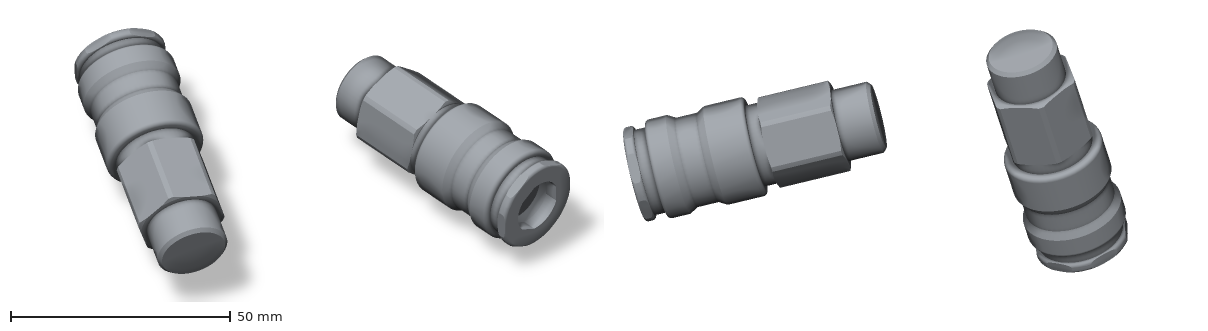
import cadquery as cq
import math

TOTAL_LENGTH = 57.5
FLANGE_END = 2.5
SLEEVE_START = 5.25
SLEEVE_END = 28.6
HEX_START = 31.4
HEX_END = 48.55

FLANGE_DIAMETER = 22.1
FLANGE_FILLET = 0.8
FLANGE_ACROSS_FLATS = 21.0
FLANGE_TURN = 30
NECK_DIAMETER = 20.0
BARREL_DIAMETER = 19.0
HEX_ACROSS_FLATS = 19.0
HEX_CORNER_DIAMETER = 21.2
HEX_FACE_DIAMETER = 19.4
HEX_CHAMFER_LENGTH = 0.35
HEX_TURN = -16.5
SPIGOT_DIAMETER = 16.7
SPIGOT_CHAMFER = 0.8

SOCKET_DIAMETER = 12.7
SOCKET_FLAT_OFFSET = 6.0
MOUTH_DEPTH = 3.2
SOCKET_DEPTH = 5.75
CHAMBER_DIAMETER = 12.9

SLEEVE_DIAMETER = 23.2
SLEEVE_FILLET = 0.9
WAIST_DIAMETER = 21.0
WAIST_START = 12.3
WAIST_END = 17.3
WAIST_SLOPE_LENGTH = 1.9


def disc(diameter, start, end):
    """Round bar along X between two stations."""
    return cq.Workplane("YZ", origin=(start, 0, 0)).circle(diameter / 2).extrude(end - start)


def hexagon(across_flats, corner_angle, start, end):
    """Hexagonal bar along X with one corner at the given angle from +Y toward +Z."""
    corner_circle = across_flats / math.cos(math.pi / 6)
    bar = cq.Workplane("YZ", origin=(start, 0, 0)).polygon(6, corner_circle).extrude(end - start)
    return bar.rotate((0, 0, 0), (1, 0, 0), corner_angle)


def make_flange():
    """Rounded disc with six flats, two of them facing +Y and -Y."""
    rounded = disc(FLANGE_DIAMETER, 0, FLANGE_END).edges().fillet(FLANGE_FILLET)
    return rounded.intersect(hexagon(FLANGE_ACROSS_FLATS, FLANGE_TURN, 0, FLANGE_END))


def make_hex_section():
    """Wrench hexagon with its corners turned round and both ends chamfered."""
    face_radius = HEX_FACE_DIAMETER / 2
    corner_radius = HEX_CORNER_DIAMETER / 2
    turned_blank = (
        cq.Workplane("XY")
        .moveTo(HEX_START, 0)
        .lineTo(HEX_START, face_radius)
        .lineTo(HEX_START + HEX_CHAMFER_LENGTH, corner_radius)
        .lineTo(HEX_END - HEX_CHAMFER_LENGTH, corner_radius)
        .lineTo(HEX_END, face_radius)
        .lineTo(HEX_END, 0)
        .close()
        .revolve(360, (0, 0, 0), (1, 0, 0))
    )
    return turned_blank.intersect(hexagon(HEX_ACROSS_FLATS, HEX_TURN, HEX_START, HEX_END))


def make_socket():
    """Cutter for the blind socket: three flats in the mouth, a round chamber behind it."""
    corner_circle = 4 * SOCKET_FLAT_OFFSET
    triangle = cq.Workplane("YZ").polygon(3, corner_circle).extrude(MOUTH_DEPTH)
    mouth = disc(SOCKET_DIAMETER, 0, MOUTH_DEPTH).intersect(triangle)
    return mouth.union(disc(CHAMBER_DIAMETER, MOUTH_DEPTH, SOCKET_DEPTH))


def make_core():
    neck = disc(NECK_DIAMETER, FLANGE_END, SLEEVE_START)
    barrel = disc(BARREL_DIAMETER, SLEEVE_START, HEX_START)
    spigot = disc(SPIGOT_DIAMETER, HEX_END, TOTAL_LENGTH).faces(">X").chamfer(SPIGOT_CHAMFER)
    solid_core = make_flange().union(neck).union(barrel).union(make_hex_section()).union(spigot)
    return solid_core.cut(make_socket())


def make_sleeve():
    outer_radius = SLEEVE_DIAMETER / 2
    waist_radius = WAIST_DIAMETER / 2
    bore_radius = BARREL_DIAMETER / 2
    ring = (
        cq.Workplane("XY")
        .moveTo(SLEEVE_START, bore_radius)
        .lineTo(SLEEVE_START, outer_radius)
        .lineTo(WAIST_START - WAIST_SLOPE_LENGTH, outer_radius)
        .lineTo(WAIST_START, waist_radius)
        .lineTo(WAIST_END, waist_radius)
        .lineTo(WAIST_END + WAIST_SLOPE_LENGTH, outer_radius)
        .lineTo(SLEEVE_END, outer_radius)
        .lineTo(SLEEVE_END, bore_radius)
        .close()
        .revolve(360, (0, 0, 0), (1, 0, 0))
    )
    outer_rims = ring.faces("<X or >X").edges(cq.selectors.RadiusNthSelector(-1))
    return outer_rims.fillet(SLEEVE_FILLET)


core = make_core()
sleeve = make_sleeve()

result = cq.Compound.makeCompound([core.val(), sleeve.val()])